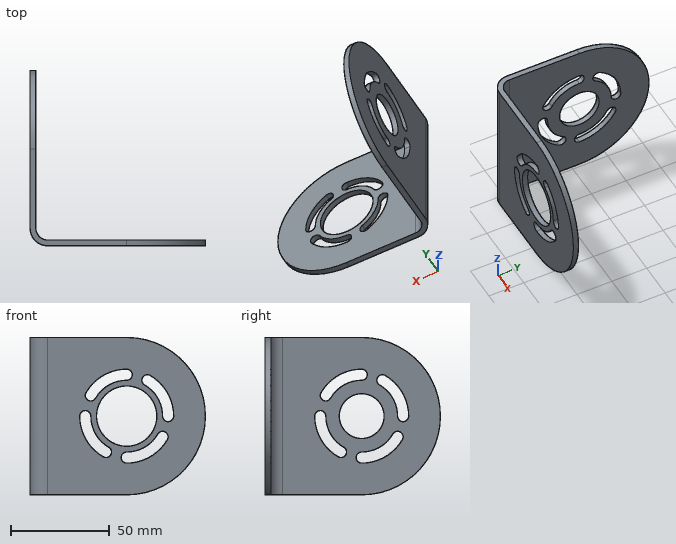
import cadquery as cq
import math

LEG_LENGTH = 89.1
HEIGHT = 80.0
THICKNESS = 3.0
BEND_OUTER_RADIUS = 9.0
FRONT_BORE_DIAMETER = 30.5
SIDE_BORE_DIAMETER = 22.6
SLOT_CIRCLE_RADIUS = 21.0
SLOT_WIDTH = 5.5
SLOT_SWEEP = 60.0
SLOT_COUNT = 4
FIRST_SLOT_ANGLE = 0.0

end_radius = HEIGHT / 2
bore_offset = LEG_LENGTH - end_radius
bend_inner_radius = BEND_OUTER_RADIUS - THICKNESS


def polar(radius, angle):
    """Point on a circle about the bore axis, angle in degrees."""
    theta = math.radians(angle)
    return (radius * math.cos(theta), radius * math.sin(theta))


def arc_slot(start_angle):
    """Curved slot with round ends, centred on the bore axis."""
    end_angle = start_angle + SLOT_SWEEP
    mid_angle = start_angle + SLOT_SWEEP / 2
    inner = SLOT_CIRCLE_RADIUS - SLOT_WIDTH / 2
    outer = SLOT_CIRCLE_RADIUS + SLOT_WIDTH / 2
    end_cap = SLOT_WIDTH / 2
    return (
        cq.Workplane("XY")
        .moveTo(*polar(outer, start_angle))
        .threePointArc(polar(outer, mid_angle), polar(outer, end_angle))
        .radiusArc(polar(inner, end_angle), -end_cap)
        .threePointArc(polar(inner, mid_angle), polar(inner, start_angle))
        .radiusArc(polar(outer, start_angle), -end_cap)
        .close()
        .extrude(THICKNESS)
    )


def flat_leg(bore_diameter):
    """Flat leg in XY, starting at the bend and pointing along +X."""
    leg = (
        cq.Workplane("XY")
        .moveTo(BEND_OUTER_RADIUS, -end_radius)
        .lineTo(bore_offset, -end_radius)
        .threePointArc((LEG_LENGTH, 0), (bore_offset, end_radius))
        .lineTo(BEND_OUTER_RADIUS, end_radius)
        .close()
        .extrude(THICKNESS)
    )
    bore = cq.Workplane("XY").center(bore_offset, 0).circle(bore_diameter / 2).extrude(THICKNESS)
    leg = leg.cut(bore)
    for index in range(SLOT_COUNT):
        slot = arc_slot(FIRST_SLOT_ANGLE + index * 360 / SLOT_COUNT)
        leg = leg.cut(slot.translate((bore_offset, 0, 0)))
    return leg


def upright_leg(bore_diameter):
    """Leg stood up along +X with its outer face on Y = 0."""
    leg = flat_leg(bore_diameter).rotate((0, 0, 0), (1, 0, 0), 90)
    return leg.translate((0, THICKNESS, 0))


def bend():
    """Quarter-round bend joining the two legs."""
    diagonal = math.sqrt(0.5)
    outer_mid = BEND_OUTER_RADIUS * (1 - diagonal)
    inner_mid = BEND_OUTER_RADIUS - bend_inner_radius * diagonal
    return (
        cq.Workplane("XY", origin=(0, 0, -end_radius))
        .moveTo(BEND_OUTER_RADIUS, 0)
        .threePointArc((outer_mid, outer_mid), (0, BEND_OUTER_RADIUS))
        .lineTo(THICKNESS, BEND_OUTER_RADIUS)
        .threePointArc((inner_mid, inner_mid), (BEND_OUTER_RADIUS, THICKNESS))
        .close()
        .extrude(HEIGHT)
    )


front_leg = upright_leg(FRONT_BORE_DIAMETER)

side_leg = upright_leg(SIDE_BORE_DIAMETER).mirror("XZ").rotate((0, 0, 0), (0, 0, 1), 90)

result = front_leg.union(bend()).union(side_leg)